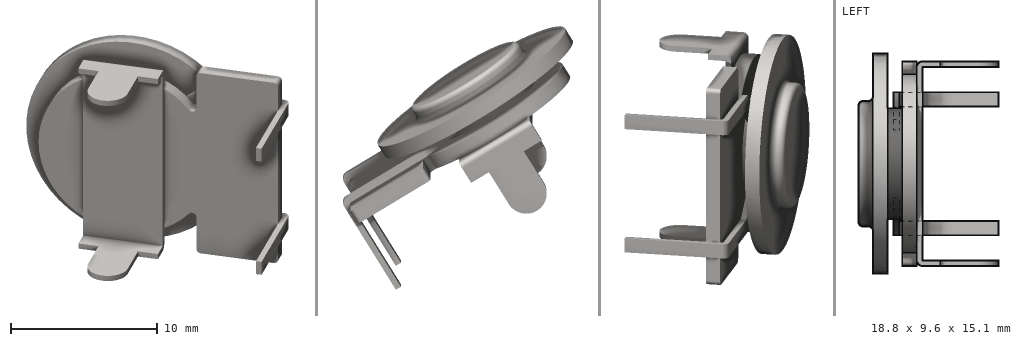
import cadquery as cq
import math

sheet = 0.4
front_reach = 5.6

disc_radius = 7.54
disc_thickness = 1.0
knob_radius = 4.3
knob_height = 1.0
knob_edge_fillet = 0.35
knob_root_fillet = 0.3
shaft_radius = 3.8
shaft_length = 1.0

plate_thickness = 1.0
head_radius = 6.1
board_left = 5.1
board_right = 10.9
board_half_height = 7.0
plate_corner_fillet = 0.3

strap_width = 5.65
strap_half_height = board_half_height
strap_bend_radius = sheet
shoulder_reach = 1.6
tongue_width = 2.8

contact_gap = 0.2
leg_width = 1.0
leg_outer_z = 4.9
arm_knee_x = 4.9
arm_angle = math.radians(35.4)
contact_outer_bend = sheet
contact_inner_bend = 0.2

plate_back = plate_thickness
disc_front = plate_back + shaft_length
disc_back = disc_front + disc_thickness
knob_back = disc_back + knob_height


def y_cylinder(radius, y_start, length):
    """Cylinder on the Y axis, from y_start toward +Y."""
    return cq.Workplane("XZ", origin=(0, y_start, 0)).circle(radius).extrude(-length)


def make_rotor():
    """Shaft, dial disc and knob as one turned body."""
    shaft = y_cylinder(shaft_radius, plate_back, shaft_length)
    disc = y_cylinder(disc_radius, disc_front, disc_thickness)
    cylinder_start = disc_back + knob_root_fillet
    edge_start = knob_back - knob_edge_fillet
    diagonal = math.sqrt(0.5)
    knob = (
        cq.Workplane("XY")
        .moveTo(0, disc_back)
        .lineTo(knob_radius + knob_root_fillet, disc_back)
        .threePointArc(
            (
                knob_radius + knob_root_fillet * (1 - diagonal),
                disc_back + knob_root_fillet * (1 - diagonal),
            ),
            (knob_radius, cylinder_start),
        )
        .lineTo(knob_radius, edge_start)
        .threePointArc(
            (
                knob_radius - knob_edge_fillet * (1 - diagonal),
                knob_back - knob_edge_fillet * (1 - diagonal),
            ),
            (knob_radius - knob_edge_fillet, knob_back),
        )
        .lineTo(0, knob_back)
        .close()
        .revolve(360, (0, 0, 0), (0, 1, 0))
    )
    return shaft.union(disc).union(knob)


def make_plate():
    """Round head joined to the rectangular board."""
    head = y_cylinder(head_radius, 0, plate_thickness)
    board = (
        cq.Workplane("XY", origin=(board_left, 0, 0))
        .box(
            board_right - board_left,
            plate_thickness,
            2 * board_half_height,
            centered=(False, False, True),
        )
    )
    return head.union(board).edges("|Y").fillet(plate_corner_fillet)


def make_strap():
    """U-shaped strap with a rounded tongue on each tab."""
    overall = 2 * strap_half_height
    strap = (
        cq.Workplane("XY")
        .box(strap_width, front_reach, overall, centered=(True, False, True))
        .translate((0, -front_reach, 0))
        .edges("|X and >Y")
        .fillet(strap_bend_radius)
    )
    inside = (
        cq.Workplane("XY")
        .box(strap_width, front_reach, overall - 2 * sheet, centered=(True, False, True))
        .translate((0, -front_reach - sheet, 0))
    )
    tongue_radius = tongue_width / 2
    tongue_center_y = tongue_radius - front_reach
    tab_outline = (
        cq.Workplane("XY", origin=(0, 0, -strap_half_height))
        .moveTo(-strap_width / 2, 0)
        .lineTo(-strap_width / 2, -shoulder_reach)
        .lineTo(-tongue_radius, -shoulder_reach)
        .lineTo(-tongue_radius, tongue_center_y)
        .threePointArc((0, -front_reach), (tongue_radius, tongue_center_y))
        .lineTo(tongue_radius, -shoulder_reach)
        .lineTo(strap_width / 2, -shoulder_reach)
        .lineTo(strap_width / 2, 0)
        .close()
        .extrude(overall)
    )
    return strap.cut(inside).intersect(tab_outline)


def make_contact(side):
    """Contact strip on the +Z side (side = 1) or the -Z side (side = -1)."""
    arm_front = plate_back + contact_gap
    arm_back = arm_front + sheet
    leg_right = board_right + sheet
    inner_knee_x = arm_knee_x + leg_width * math.tan(arm_angle / 2)
    leg_inner_z = leg_outer_z - leg_width
    arm_start_x = 0
    drop = (arm_knee_x - arm_start_x) * math.tan(arm_angle)
    inner_start_x = arm_start_x + inner_knee_x - arm_knee_x
    strip = (
        cq.Workplane("XZ", origin=(0, -front_reach, 0))
        .moveTo(leg_right, side * leg_outer_z)
        .lineTo(arm_knee_x, side * leg_outer_z)
        .lineTo(arm_start_x, side * (leg_outer_z - drop))
        .lineTo(inner_start_x, side * (leg_inner_z - drop))
        .lineTo(inner_knee_x, side * leg_inner_z)
        .lineTo(leg_right, side * leg_inner_z)
        .close()
        .extrude(-(arm_back + front_reach))
        .cut(y_cylinder(shaft_radius, -front_reach, arm_back + front_reach))
    )
    side_profile = (
        cq.Workplane("XY", origin=(0, 0, -board_half_height))
        .moveTo(0, arm_back)
        .lineTo(leg_right - contact_outer_bend, arm_back)
        .radiusArc((leg_right, arm_back - contact_outer_bend), contact_outer_bend)
        .lineTo(leg_right, -front_reach)
        .lineTo(board_right, -front_reach)
        .lineTo(board_right, arm_front - contact_inner_bend)
        .radiusArc((board_right - contact_inner_bend, arm_front), -contact_inner_bend)
        .lineTo(0, arm_front)
        .close()
        .extrude(2 * board_half_height)
    )
    return strip.intersect(side_profile)


def make_stator():
    """Plate, strap and both contacts as one body."""
    stator = make_plate().union(make_strap())
    for side in (1, -1):
        stator = stator.union(make_contact(side))
    return stator


rotor = make_rotor()
stator = make_stator()

result = cq.Compound.makeCompound([rotor.val(), *stator.solids().vals()])